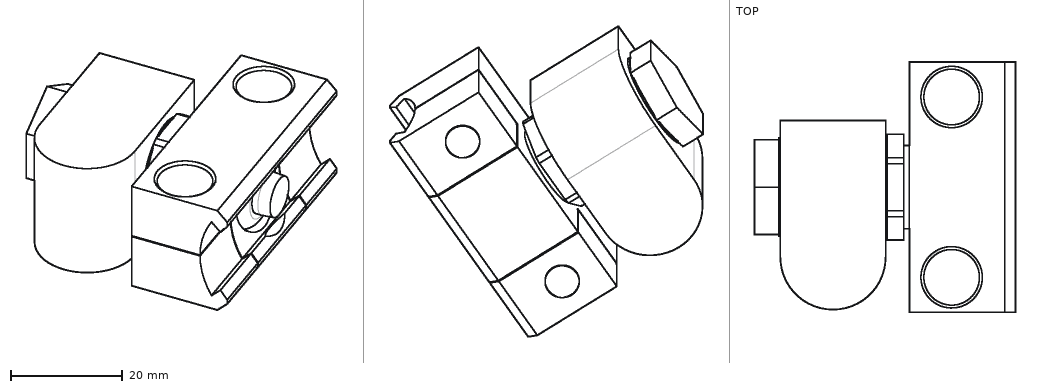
import cadquery as cq
import math


head_end_x = 4.35
block_start_x = 4.65
block_width = 18.95
block_end_x = block_start_x + block_width
sleeve_end_x = 23.83
nut_end_x = 26.85
clamp_start_x = 27.8
clamp_end_x = 46.9
shank_end_x = 42.85
neck_end_x = 44.0
tip_end_x = 46.4

hex_across_flats = 17.05
hex_across_corners = hex_across_flats / math.cos(math.radians(30))
nut_round_diameter = 19.05
shank_diameter = 15.0
shank_end_fillet = 2.5
neck_diameter = 8.1
tip_diameter = 7.75
sleeve_diameter = 17.7
sleeve_hole_diameter = 18.0

top_z = 10.97
block_radius = 12.0
block_front_y = -22.0
block_end_radius = block_width / 2

clamp_length = 45.0
gap = 0.2
middle_half_length = 9.8
jaw_chamfer = 1.95
jaw_nose_z = 8.05
jaw_tip_x = 45.55
jaw_tip_z = 6.4
groove_corner_x = 43.75
groove_corner_z = 8.1
groove_bottom_x = 41.45

screw_x = 35.4
screw_spacing = 32.35
screw_head_diameter = 10.0
screw_head_height = 6.0
screw_head_drop = 0.5
screw_shank_diameter = 6.15
screw_tip_length = 0.38
counterbore_diameter = 11.0
screw_head_top_z = top_z - screw_head_drop
screw_seat_z = screw_head_top_z - screw_head_height
screw_places = [(screw_x, side * screw_spacing / 2) for side in (-1, 1)]


def x_cylinder(start_x, end_x, diameter):
    """Cylinder on the bolt axis."""
    return cq.Workplane("YZ", origin=(start_x, 0, 0)).circle(diameter / 2).extrude(end_x - start_x)


def x_hexagon(start_x, end_x):
    """Hexagonal prism on the bolt axis, with corners toward +Y and -Y."""
    sketch = cq.Workplane("YZ", origin=(start_x, 0, 0)).polygon(6, hex_across_corners)
    return sketch.extrude(end_x - start_x)


def z_cylinders(start_z, end_z, diameter):
    """Vertical cylinder at each clamp screw."""
    sketch = cq.Workplane("XY", origin=(0, 0, start_z)).pushPoints(screw_places)
    return sketch.circle(diameter / 2).extrude(end_z - start_z)


def make_block():
    """Block with a round -Y end, a rounded lower +Y edge and a hole for the sleeve."""
    side_shape = (
        cq.Workplane("YZ", origin=(block_start_x, 0, 0))
        .moveTo(block_front_y, top_z)
        .lineTo(block_radius, top_z)
        .lineTo(block_radius, 0)
        .radiusArc((0, -block_radius), block_radius)
        .lineTo(block_front_y, -block_radius)
        .close()
        .extrude(block_width)
    )
    round_center_y = block_front_y + block_end_radius
    plan_shape = (
        cq.Workplane("XY", origin=(0, 0, -block_radius))
        .moveTo(block_start_x, block_radius)
        .lineTo(block_start_x, round_center_y)
        .threePointArc((block_start_x + block_end_radius, block_front_y), (block_end_x, round_center_y))
        .lineTo(block_end_x, block_radius)
        .close()
        .extrude(block_radius + top_z)
    )
    return side_shape.intersect(plan_shape).cut(x_cylinder(block_start_x, block_end_x, sleeve_hole_diameter))


def make_sleeve():
    """Bearing sleeve between the bolt head and the nut, standing out of both block sides."""
    outside = x_cylinder(head_end_x, sleeve_end_x, sleeve_diameter)
    return outside.cut(x_cylinder(head_end_x, sleeve_end_x, shank_diameter))


def make_bolt():
    """Hex head, long shank with a rounded end, neck and slightly tapered tip."""
    head = x_hexagon(0, head_end_x).rotate((0, 0, 0), (1, 0, 0), 30)
    shank = x_cylinder(head_end_x, shank_end_x, shank_diameter).faces(">X").edges().fillet(shank_end_fillet)
    neck = x_cylinder(shank_end_x, neck_end_x, neck_diameter)
    tip = (
        cq.Workplane("YZ", origin=(neck_end_x, 0, 0))
        .circle(neck_diameter / 2)
        .workplane(offset=tip_end_x - neck_end_x)
        .circle(tip_diameter / 2)
        .loft()
    )
    return head.union(shank).union(neck).union(tip)


def make_nut():
    """Hex nut with its corners turned round."""
    rounded = x_hexagon(sleeve_end_x, nut_end_x).intersect(
        x_cylinder(sleeve_end_x, nut_end_x, nut_round_diameter)
    )
    return rounded.cut(x_cylinder(sleeve_end_x, nut_end_x, shank_diameter))


def make_clamp_bar():
    """Full-length clamp profile with the bolt hole and the screw holes, before it is split."""
    chamfer_x = clamp_end_x - jaw_chamfer
    nose_top_z = top_z - jaw_chamfer
    bar = (
        cq.Workplane("XZ", origin=(0, clamp_length / 2, 0))
        .moveTo(clamp_start_x, top_z)
        .lineTo(chamfer_x, top_z)
        .lineTo(clamp_end_x, nose_top_z)
        .lineTo(clamp_end_x, jaw_nose_z)
        .lineTo(jaw_tip_x, jaw_tip_z)
        .lineTo(groove_corner_x, groove_corner_z)
        .threePointArc((groove_bottom_x, 0), (groove_corner_x, -groove_corner_z))
        .lineTo(jaw_tip_x, -jaw_tip_z)
        .lineTo(clamp_end_x, -jaw_nose_z)
        .lineTo(clamp_end_x, -nose_top_z)
        .lineTo(chamfer_x, -top_z)
        .lineTo(clamp_start_x, -top_z)
        .close()
        .extrude(clamp_length)
    )
    bar = bar.cut(x_cylinder(clamp_start_x, clamp_end_x, shank_diameter))
    bar = bar.cut(z_cylinders(-top_z, top_z, screw_shank_diameter))
    return bar.cut(z_cylinders(screw_seat_z, top_z, counterbore_diameter))


def lower_end_space(side, inner_y, upper_z):
    """Box around the lower clamp end on one side: from inner_y outward and from upper_z down."""
    width = clamp_end_x - clamp_start_x
    length = clamp_length / 2 - inner_y
    height = upper_z + top_z
    center = (clamp_start_x + width / 2, side * (inner_y + length / 2), upper_z - height / 2)
    return cq.Workplane("XY", origin=center).box(width, length, height)


def make_clamp_body(bar):
    """Upper jaw along the whole length and the lower jaw of the middle stretch."""
    body = bar
    for side in (-1, 1):
        body = body.cut(lower_end_space(side, middle_half_length, gap / 2))
    return body


def make_end_jaw(bar, side):
    """Loose lower jaw at one end, a gap away from the clamp body."""
    return bar.intersect(lower_end_space(side, middle_half_length + gap, -gap / 2))


def make_screws():
    """Screws with sunk heads and tips that stand out below the clamp."""
    heads = z_cylinders(screw_seat_z, screw_head_top_z, screw_head_diameter)
    shanks = z_cylinders(-top_z - screw_tip_length, screw_seat_z, screw_shank_diameter)
    return heads.union(shanks)


block = make_block()
sleeve = make_sleeve()
bolt = make_bolt()
nut = make_nut()
clamp_bar = make_clamp_bar()
clamp_body = make_clamp_body(clamp_bar)
end_jaws = [make_end_jaw(clamp_bar, side) for side in (-1, 1)]
screws = make_screws()

result = cq.Compound.makeCompound(
    [
        block.val(),
        sleeve.val(),
        bolt.val(),
        nut.val(),
        clamp_body.val(),
        *[jaw.val() for jaw in end_jaws],
        *screws.solids().vals(),
    ]
)